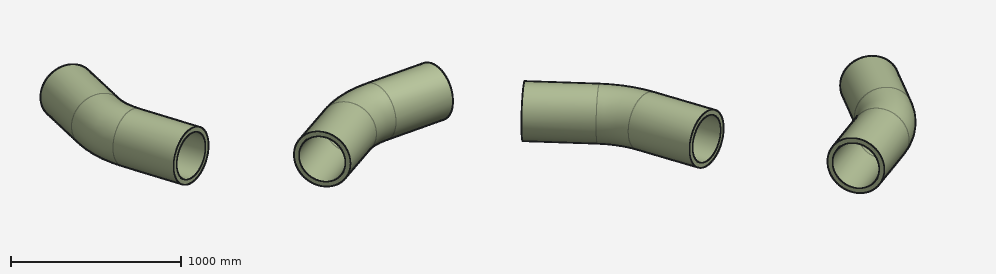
import cadquery as cq
import math

outer_diameter = 355.0
bore_diameter = 290.0
bend_angle = 30.0
leg_length = 439.0
overall_length = 1190.0

angle = math.radians(bend_angle)
end_face_reach = outer_diameter / 2 * math.sin(angle)
bend_reach = overall_length - leg_length * (1 + math.cos(angle)) - end_face_reach
bend_radius = bend_reach / math.sin(angle)


def point_on_bend(turn):
    """Centreline point after turning by the given angle in radians."""
    return (
        leg_length + bend_radius * math.sin(turn),
        bend_radius * (1 - math.cos(turn)),
    )


bend_end = point_on_bend(angle)
far_end = (
    bend_end[0] + leg_length * math.cos(angle),
    bend_end[1] + leg_length * math.sin(angle),
)
centreline = (
    cq.Workplane("XY")
    .lineTo(leg_length, 0)
    .threePointArc(point_on_bend(angle / 2), bend_end)
    .lineTo(*far_end)
)

result = (
    cq.Workplane("YZ")
    .circle(outer_diameter / 2)
    .circle(bore_diameter / 2)
    .sweep(centreline)
)